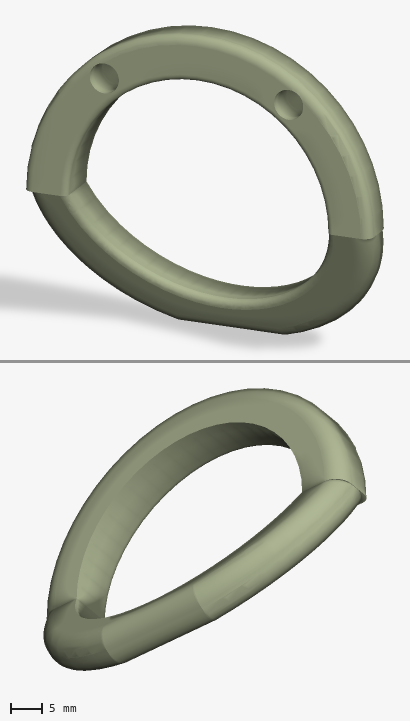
import cadquery as cq
import math

outer_radius = 30
bore_radius = 22.5
thickness = 8.05
bend_angle = 29.5
flat_distance = 28.5
lower_bore_depth = 17.65

front_fillet = 1.5
large_fillet = 3
lower_front_fillet = 3.3
bore_fillet = 1.0

hole_diameter = 5.05
hole_depth = 5.0
hole_tip_angle = 118
hole_x = 15.95
hole_z = 20.9

lower_thickness = thickness * math.cos(math.radians(bend_angle))
block_size = 4 * outer_radius


def half_space(direction):
    """Large block filling one side of the bend plane: +1 above, -1 below."""
    block = cq.Workplane("XY").box(block_size, block_size, block_size)
    return block.translate((0, 0, direction * block_size / 2))


def make_disc(depth):
    """Round plate with its front face at Y = 0 and its back face at Y = depth."""
    return cq.Workplane("XZ").circle(outer_radius).extrude(-depth)


def make_upper_leg():
    leg = make_disc(thickness)
    leg = leg.faces("<Y").edges().fillet(front_fillet)
    leg = leg.faces(">Y").edges().fillet(large_fillet)
    leg = leg.cut(cq.Workplane("XZ").circle(bore_radius).extrude(-thickness))
    leg = leg.faces("<Y").edges(cq.selectors.RadiusNthSelector(0)).fillet(bore_fillet)
    return leg.intersect(half_space(1))


def make_lower_bore():
    """Bore along Y whose lower arc is shallower than the upper half circle."""
    return (
        cq.Workplane("XZ")
        .moveTo(-bore_radius, 0)
        .threePointArc((0, -lower_bore_depth), (bore_radius, 0))
        .threePointArc((0, bore_radius), (-bore_radius, 0))
        .close()
        .extrude(-block_size / 2)
    )


def make_lower_leg():
    leg = make_disc(lower_thickness)
    below_flat = half_space(-1).translate((0, 0, -flat_distance))
    leg = leg.cut(below_flat)
    leg = leg.faces("<Y").edges().fillet(lower_front_fillet)
    leg = leg.faces(">Y").edges().fillet(large_fillet)
    leg = leg.rotate((0, 0, 0), (1, 0, 0), bend_angle)
    leg = leg.intersect(half_space(-1)).cut(make_lower_bore())

    mouth_position = (0, 0, -lower_bore_depth)
    mouth = cq.selectors.NearestToPointSelector(mouth_position)
    return leg.edges("%ELLIPSE").edges(mouth).fillet(bore_fillet)


def make_hole(x):
    """Blind drilled hole with a conical bottom, entering from the front face."""
    radius = hole_diameter / 2
    tip_depth = hole_depth + radius / math.tan(math.radians(hole_tip_angle / 2))
    profile = (
        cq.Workplane("XY")
        .polyline([(0, 0), (radius, 0), (radius, hole_depth), (0, tip_depth)])
        .close()
    )
    return profile.revolve(360, (0, 0, 0), (0, 1, 0)).translate((x, 0, hole_z))


result = make_upper_leg().union(make_lower_leg())
for side in (-1, 1):
    result = result.cut(make_hole(side * hole_x))